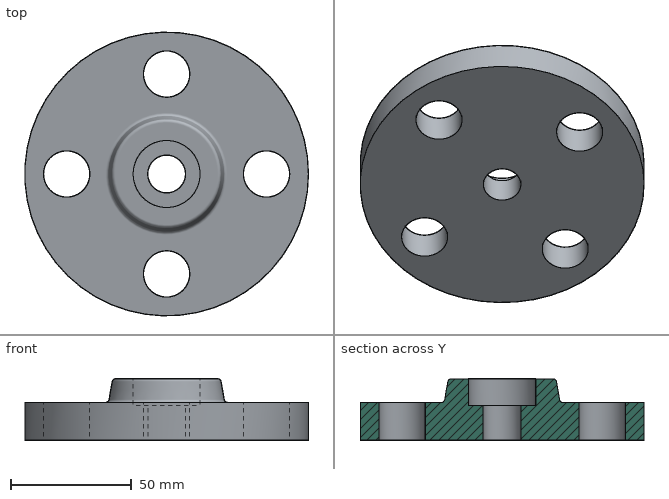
import cadquery as cq

flange_diameter = 117.3
flange_thickness = 15.7

overall_height = 25.5
hub_height = overall_height - flange_thickness
hub_base_diameter = 48.1
hub_draft_angle = 10.0
hub_root_fillet = 1.3
hub_rim_fillet = 1.4

socket_diameter = 27.7
socket_depth = 11.0
bore_diameter = 15.5

bolt_count = 4
bolt_circle_diameter = 82.6
bolt_hole_diameter = 19.0


def make_disc():
    return cq.Workplane("XY").circle(flange_diameter / 2).extrude(flange_thickness)


def make_hub():
    return (
        cq.Workplane("XY", origin=(0, 0, flange_thickness))
        .circle(hub_base_diameter / 2)
        .extrude(hub_height, taper=hub_draft_angle)
    )


def round_hub(body):
    """Blend the hub's foot into the disc and round its top rim."""
    body = body.faces("%CONE").edges("%CIRCLE and <Z").fillet(hub_root_fillet)
    return body.faces(">Z").edges().fillet(hub_rim_fillet)


def cut_socket_and_bore(body):
    """Sink the pipe socket from the hub's top, with the smaller bore going right through."""
    return body.faces(">Z").workplane().cboreHole(bore_diameter, socket_diameter, socket_depth)


def cut_bolt_holes(body):
    bolt_holes = (
        cq.Workplane("XY")
        .polarArray(bolt_circle_diameter / 2, 0, 360, bolt_count)
        .circle(bolt_hole_diameter / 2)
        .extrude(flange_thickness)
    )
    return body.cut(bolt_holes)


flange = make_disc().union(make_hub())
flange = round_hub(flange)
flange = cut_socket_and_bore(flange)
result = cut_bolt_holes(flange)